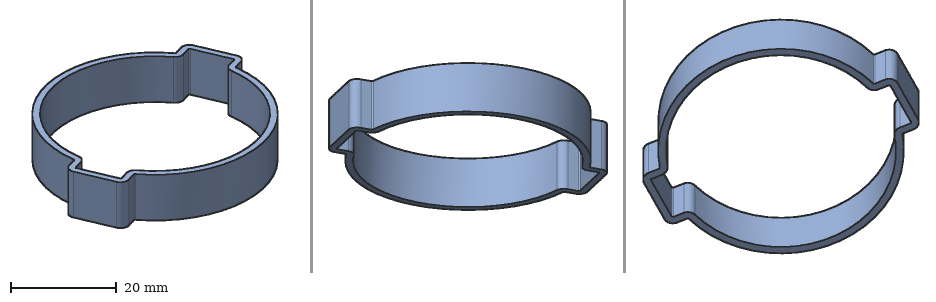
import cadquery as cq

BAND_THICKNESS = 1.5
BAND_HEIGHT = 10.0
RING_DIAMETER = 46.4
LENGTH_OVER_EARS = 53.0
EAR_WIDTH = 12.5
TIGHT_BEND_RADIUS = 0.25

WIDE_BEND_RADIUS = TIGHT_BEND_RADIUS + BAND_THICKNESS

PICK_MARGIN = 0.55


def eared_disc(inset, corner_radius, neck_radius):
    """Solid disc with two opposite square ears, shrunk by inset on every side.

    The ear corners and the necks where the ears meet the disc are rounded.
    """
    disc_radius = RING_DIAMETER / 2 - inset
    ear_width = EAR_WIDTH - 2 * inset
    length = LENGTH_OVER_EARS - 2 * inset

    disc = cq.Workplane("XY").circle(disc_radius).extrude(BAND_HEIGHT)
    ears = (
        cq.Workplane("XY")
        .rect(ear_width, length)
        .extrude(BAND_HEIGHT)
        .edges("|Z")
        .fillet(corner_radius)
    )

    pick_half_width = ear_width / 2 + PICK_MARGIN
    neck_zone = cq.selectors.BoxSelector(
        (-pick_half_width, -disc_radius, -PICK_MARGIN),
        (pick_half_width, disc_radius, BAND_HEIGHT + PICK_MARGIN),
    )
    return disc.union(ears).edges("|Z").edges(neck_zone).fillet(neck_radius)


outside = eared_disc(0, WIDE_BEND_RADIUS, TIGHT_BEND_RADIUS)
opening = eared_disc(BAND_THICKNESS, TIGHT_BEND_RADIUS, WIDE_BEND_RADIUS)

result = outside.cut(opening)